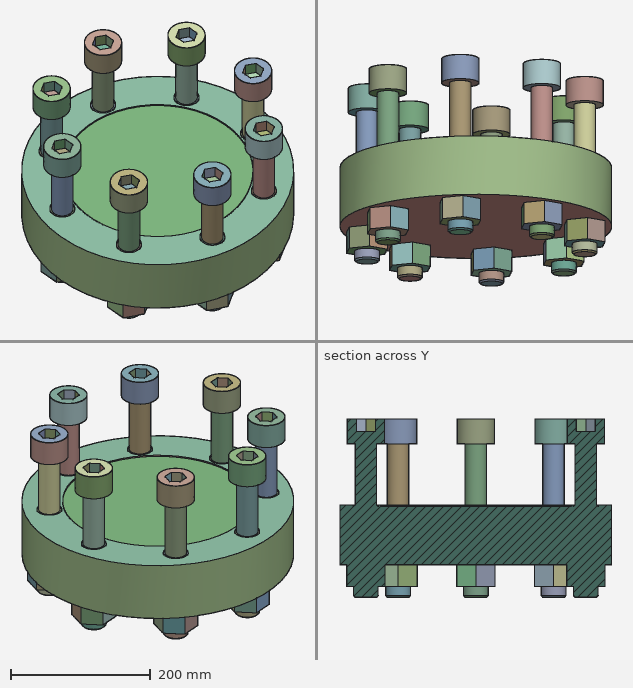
import cadquery as cq
import math

disc_diameter = 390.0
disc_thickness = 86.0
recess_diameter = 273.0
recess_depth = 2.0

bolt_count = 8
bolt_circle_diameter = 315.0

thread_diameter = 36.0
shank_diameter = 31.2
thread_chamfer = (thread_diameter - shank_diameter) / 2
head_diameter = 54.0
head_height = thread_diameter
head_chamfer = 0.5
head_underside_height = 173.5
bolt_tip_depth = 46.5
socket_across_flats = 27.0
socket_depth = head_height / 2

nut_across_flats = 55.0
nut_height = 31.2


def hexagon(workplane, across_flats):
    """Hexagon with two flats facing +X and -X."""
    across_corners = across_flats / math.cos(math.pi / 6)
    return workplane.transformed(rotate=(0, 0, 90)).polygon(6, across_corners)


def make_disc():
    """Flange with a shallow round recess and one hole for each bolt."""
    disc = cq.Workplane("XY").circle(disc_diameter / 2).extrude(disc_thickness)
    disc = disc.faces(">Z").workplane().hole(recess_diameter, recess_depth)
    holes = (
        cq.Workplane("XY")
        .polarArray(bolt_circle_diameter / 2, 0, 360, bolt_count)
        .circle(thread_diameter / 2)
        .extrude(disc_thickness)
    )
    return disc.cut(holes)


def make_bolt():
    """Bolt on the Z axis; its chamfered thread runs up to the top of the disc."""
    thread = (
        cq.Workplane("XY")
        .workplane(offset=-bolt_tip_depth)
        .circle(thread_diameter / 2)
        .extrude(bolt_tip_depth + disc_thickness)
        .faces("<Z or >Z")
        .chamfer(thread_chamfer)
    )
    shank = (
        cq.Workplane("XY")
        .circle(shank_diameter / 2)
        .extrude(head_underside_height)
    )
    head = (
        cq.Workplane("XY")
        .workplane(offset=head_underside_height)
        .circle(head_diameter / 2)
        .extrude(head_height)
        .faces(">Z")
        .chamfer(head_chamfer)
    )
    head_top = cq.Workplane("XY").workplane(offset=head_underside_height + head_height)
    socket = hexagon(head_top, socket_across_flats).extrude(-socket_depth)
    return thread.union(shank).union(head).cut(socket)


def make_nut():
    """Nut on the Z axis, seated against the underside of the disc."""
    return hexagon(cq.Workplane("XY"), nut_across_flats).extrude(-nut_height)


result = make_disc()
fastener = make_bolt().union(make_nut())
for index in range(bolt_count):
    angle = 2 * math.pi * index / bolt_count
    x = bolt_circle_diameter / 2 * math.cos(angle)
    y = bolt_circle_diameter / 2 * math.sin(angle)
    result = result.union(fastener.translate((x, y, 0)))